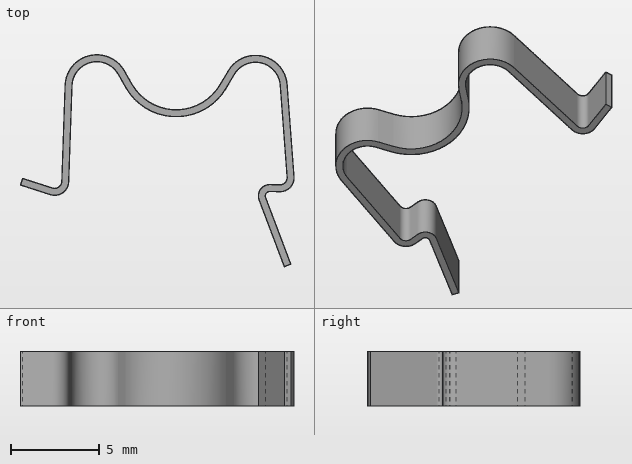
import cadquery as cq
import math

STRIP_WIDTH = 3.1
THICKNESS = 0.4
BEND_RADIUS = 0.6
RIGHT_FOOT_RADIUS = 0.45
LOOP_RADIUS = 1.6
CRADLE_RADIUS = 3.09

LEFT_TIP = (0.06, 4.82)
RIGHT_TIP = (15.14, 0.08)

BENDS = [
    ((1.94, 4.85), BEND_RADIUS),
    ((4.33, 10.22), -LOOP_RADIUS),
    ((8.83, 11.79), CRADLE_RADIUS),
    ((13.32, 10.19), -LOOP_RADIUS),
    ((14.7, 5.05), -BEND_RADIUS),
    ((14.13, 4.02), RIGHT_FOOT_RADIUS),
]


def tangent_heading(start, end):
    """Heading of the straight that runs tangentially from one bend to the next."""
    (start_x, start_y), start_radius = start
    (end_x, end_y), end_radius = end
    dx = end_x - start_x
    dy = end_y - start_y
    return math.atan2(dy, dx) - math.asin((end_radius - start_radius) / math.hypot(dx, dy))


def strip_point(bend, heading, side):
    """Point on a bend where the strip has this heading, shifted to its left by `side`."""
    (x, y), radius = bend
    shift = side - radius
    return (x - shift * math.sin(heading), y + shift * math.cos(heading))


def strip_face(stations, headings, side):
    """Edges of one strip face, from the left tip to the right tip."""
    edges = []
    position = strip_point(stations[0], headings[0], side)
    for bend, heading_in, heading_out in zip(stations[1:-1], headings, headings[1:]):
        arc_start = strip_point(bend, heading_in, side)
        arc_middle = strip_point(bend, (heading_in + heading_out) / 2, side)
        arc_end = strip_point(bend, heading_out, side)
        edges.append(cq.Edge.makeLine(cq.Vector(*position), cq.Vector(*arc_start)))
        edges.append(cq.Edge.makeThreePointArc(
            cq.Vector(*arc_start), cq.Vector(*arc_middle), cq.Vector(*arc_end)))
        position = arc_end
    tip = strip_point(stations[-1], headings[-1], side)
    edges.append(cq.Edge.makeLine(cq.Vector(*position), cq.Vector(*tip)))
    return edges


def tip_edge(tip, heading):
    """Square-cut edge across the strip at a free end."""
    left = strip_point(tip, heading, THICKNESS / 2)
    right = strip_point(tip, heading, -THICKNESS / 2)
    return cq.Edge.makeLine(cq.Vector(*left), cq.Vector(*right))


stations = [(LEFT_TIP, 0.0)] + BENDS + [(RIGHT_TIP, 0.0)]
headings = [tangent_heading(start, end) for start, end in zip(stations, stations[1:])]

outline = cq.Wire.assembleEdges(
    strip_face(stations, headings, THICKNESS / 2)
    + [tip_edge(stations[-1], headings[-1])]
    + strip_face(stations, headings, -THICKNESS / 2)[::-1]
    + [tip_edge(stations[0], headings[0])]
)
result = cq.Workplane("XY").add(outline).toPending().extrude(STRIP_WIDTH)